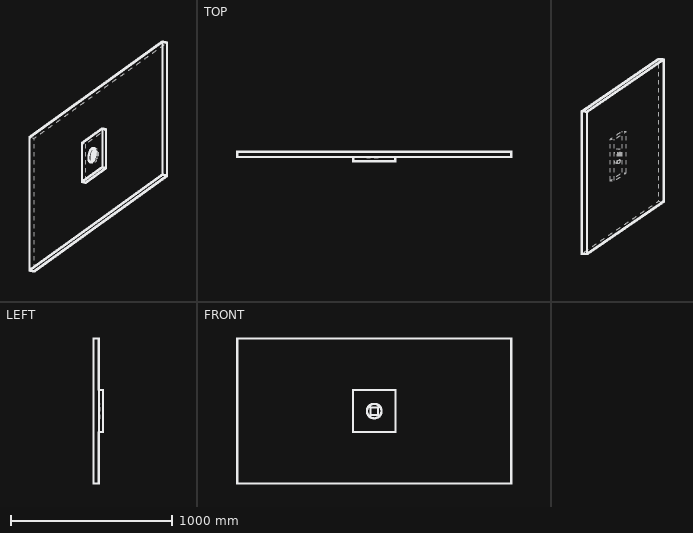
import cadquery as cq

plate_width = 1700.0
plate_height = 900.0
total_depth = 61.0
plate_thickness = 34.0
block_side = 262.0
bore_diameter = 90.0
bore_depth = 20.0
peg_side = 46.0

block_thickness = total_depth - plate_thickness
peg_length = block_thickness - bore_depth


def square_bar(side, length):
    """Square bar standing on the plate front and reaching toward -Y."""
    return cq.Workplane("XZ").rect(side, side).extrude(length)


def make_plate():
    """Plain rectangular plate behind the block."""
    return cq.Workplane("XY").box(
        plate_width, plate_thickness, plate_height, centered=(True, False, True)
    )


def make_peg():
    """Square peg whose front is flush with the floor of the bore."""
    return square_bar(peg_side, peg_length)


def make_block():
    """Square block with a blind round bore and a square hole for the peg."""
    bore = (
        cq.Workplane("XZ", origin=(0, -peg_length, 0))
        .circle(bore_diameter / 2)
        .extrude(bore_depth)
    )
    peg_hole = square_bar(peg_side, peg_length)
    return square_bar(block_side, block_thickness).cut(bore).cut(peg_hole)


plate = make_plate()
block = make_block()
peg = make_peg()

result = cq.Compound.makeCompound([plate.val(), block.val(), peg.val()])